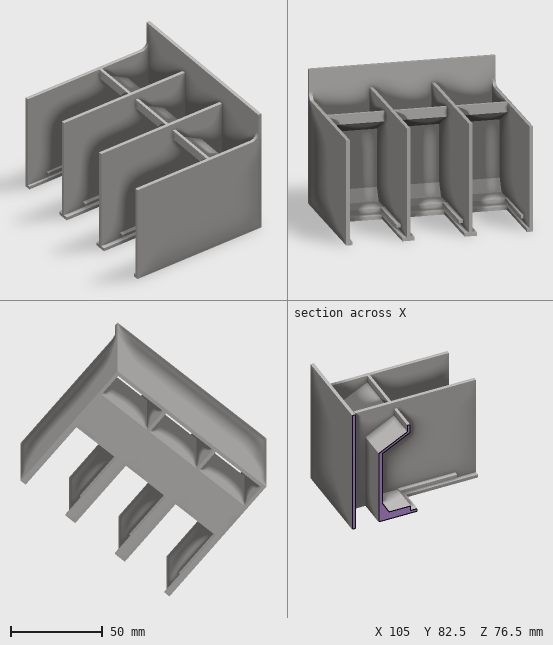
import cadquery as cq

width = 105.0
depth = 82.5
height = 76.5

bay_count = 3
bay_pitch = width / bay_count
panel_thickness = 2.0
back_thickness = 2.0
side_height = 59.7
divider_height = 63.9
corner_radius = 4.2

opening_width = 28.0
floor_thickness = 2.0
upper_rail_bottom = 4.1
upper_rail_top = 5.8
upper_rail_setback = 12.5

lip_front = 43.3
bar_front = 47.7
bar_back = 49.4
bar_bottom = 54.1
wall_front = 64.3
wall_back = 66.6
step_front = 47.2
step_top = 5.0
ramp_foot = 60.3
ramp_top = 12.1
hood_bottom = 45.2
hood_slope = (bar_bottom - hood_bottom) / (wall_front - bar_front)
hood_rise = 2.2


def block(x_range, y_range, z_range):
    """Box between the given limits on each axis."""
    (x0, x1), (y0, y1), (z0, z1) = x_range, y_range, z_range
    return cq.Workplane("XY").box(x1 - x0, y1 - y0, z1 - z0, centered=False).translate((x0, y0, z0))


def back_panel():
    return block((-width / 2, width / 2), (depth - back_thickness, depth), (0, height))


def side_wall(x_start):
    """Outer wall whose top edge sweeps up into the back panel."""
    back_face = depth - back_thickness
    return (
        cq.Workplane("YZ", origin=(x_start, 0, 0))
        .lineTo(0, side_height)
        .lineTo(back_face - corner_radius, side_height)
        .radiusArc((back_face, side_height + corner_radius), -corner_radius)
        .lineTo(depth, side_height + corner_radius)
        .lineTo(depth, 0)
        .close()
        .extrude(panel_thickness)
    )


def divider(x_center):
    x_range = (x_center - panel_thickness / 2, x_center + panel_thickness / 2)
    return block(x_range, (0, depth), (0, divider_height))


def rails(x_start, x_end):
    """Bottom rail and shorter upper rail that ends at the step, sharing one width."""
    bottom = block((x_start, x_end), (0, wall_back), (0, floor_thickness))
    upper = block((x_start, x_end), (upper_rail_setback, step_front), (upper_rail_bottom, upper_rail_top))
    return bottom.union(upper)


def cross_wall():
    """Floor lip, step, ramp, upright wall and forward-rising hood, as one profile across all bays."""
    hood_top_front = bar_bottom - hood_slope * (bar_back - bar_front) + hood_rise
    hood_top_back = bar_bottom - hood_slope * (wall_back - bar_front) + hood_rise
    profile = [
        (lip_front, 0),
        (lip_front, floor_thickness),
        (step_front, floor_thickness),
        (step_front, step_top),
        (ramp_foot, step_top),
        (wall_front, ramp_top),
        (wall_front, hood_bottom),
        (bar_front, bar_bottom),
        (bar_front, side_height),
        (bar_back, side_height),
        (bar_back, hood_top_front),
        (wall_back, hood_top_back),
        (wall_back, 0),
    ]
    return cq.Workplane("YZ", origin=(-width / 2, 0, 0)).polyline(profile).close().extrude(width)


result = back_panel().union(cross_wall())

for wall_start in (-width / 2, width / 2 - panel_thickness):
    result = result.union(side_wall(wall_start))

for index in range(1, bay_count):
    result = result.union(divider(-width / 2 + index * bay_pitch))

for index in range(bay_count):
    bay_start = -width / 2 + index * bay_pitch
    bay_end = bay_start + bay_pitch
    rail_reach = (bay_pitch - opening_width) / 2
    result = result.union(rails(bay_start, bay_start + rail_reach))
    result = result.union(rails(bay_end - rail_reach, bay_end))